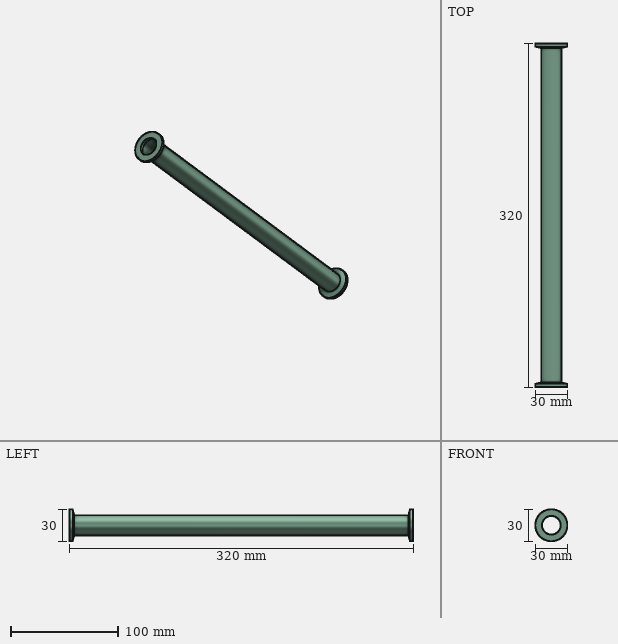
import cadquery as cq
import math

length = 320.0
flange_diameter = 30.0
tube_diameter = 19.1
bore_diameter = 17.2
rim_thickness = 3.0
taper_angle = 15.0

half_length = length / 2
flange_radius = flange_diameter / 2
tube_radius = tube_diameter / 2
taper_rise = (flange_radius - tube_radius) * math.tan(math.radians(taper_angle))
rim_end = half_length - rim_thickness
taper_end = rim_end - taper_rise


def flanged_tube():
    """Solid of revolution about Y: a tube body with a tapered clamp flange at each end."""
    bore_radius = bore_diameter / 2
    profile = [
        (bore_radius, -half_length),
        (flange_radius, -half_length),
        (flange_radius, -rim_end),
        (tube_radius, -taper_end),
        (tube_radius, taper_end),
        (flange_radius, rim_end),
        (flange_radius, half_length),
        (bore_radius, half_length),
    ]
    return cq.Workplane("XY").polyline(profile).close().revolve(360, (0, 0, 0), (0, 1, 0))


result = flanged_tube()